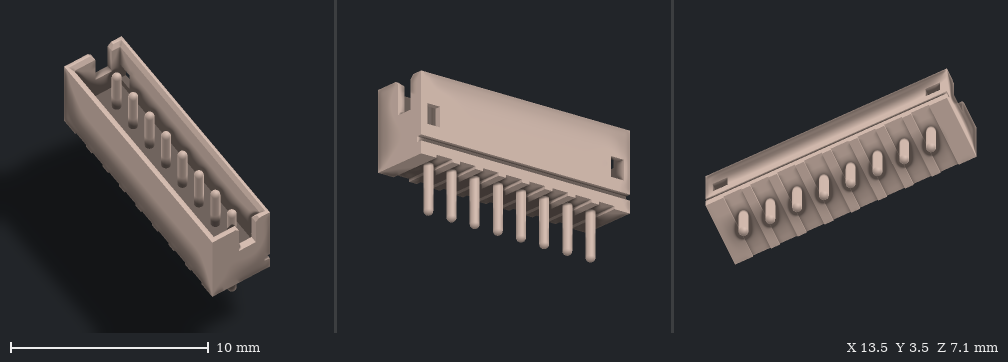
import cadquery as cq


LENGTH = 13.5
DEPTH = 3.5
HEIGHT = 4.5
END_WALL = 0.39
SIDE_WALL = 0.35
BEVEL = 0.2

BENCH_Z = 1.3
STEP_DROP = 0.3
STEP_RUN = 0.2
STEP_FRONT = 1.24

PIN_COUNT = 8
PITCH = 1.5
PIN_DIAMETER = 0.5
PIN_TOP = 3.9
PIN_BOTTOM = -2.6
PIN_SETBACK = 1.31

SLOT_WIDTH = 1.01
SLOT_FLOOR = 2.63
SLOT_SETBACK = 0.85
WINDOW_WIDTH = 0.82
WINDOW_SILL = 1.7
WINDOW_HEAD = 2.82
GROOVE_Z = 0.7
GROOVE_HEIGHT = 0.32
GROOVE_DEPTH = 0.32
RELIEF_WIDTH = 1.01
RELIEF_HEIGHT = 0.16

BACK = DEPTH / 2
FRONT = -BACK
INNER_LENGTH = LENGTH - 2 * END_WALL
INNER_BACK = BACK - SIDE_WALL
INNER_FRONT = FRONT + SIDE_WALL
PIN_Y = BACK - PIN_SETBACK
PIN_RADIUS = PIN_DIAMETER / 2
PIN_XS = [(i - (PIN_COUNT - 1) / 2) * PITCH for i in range(PIN_COUNT)]


def box(x_range, y_range, z_range):
    """Box spanning the given (low, high) range on each axis."""
    (x0, x1), (y0, y1), (z0, z1) = x_range, y_range, z_range
    return cq.Workplane("XY").box(x1 - x0, y1 - y0, z1 - z0, centered=False).translate((x0, y0, z0))


def extrude_along_x(points, length):
    """Prism with a (y, z) outline, centred on X = 0."""
    return cq.Workplane("YZ").polyline(points).close().extrude(length / 2, both=True)


def cavity():
    """Inside of the shroud, down to the stepped floor, with a bevelled mouth."""
    low_z = BENCH_Z - STEP_DROP
    step_foot = FRONT + STEP_FRONT
    outline = [
        (INNER_FRONT, HEIGHT),
        (INNER_FRONT, low_z),
        (step_foot, low_z),
        (step_foot + STEP_RUN, BENCH_Z),
        (INNER_BACK, BENCH_Z),
        (INNER_BACK, HEIGHT),
    ]
    mouth = (
        cq.Workplane("XY")
        .workplane(offset=HEIGHT)
        .rect(INNER_LENGTH + 2 * BEVEL, DEPTH - 2 * SIDE_WALL + 2 * BEVEL)
        .workplane(offset=-BEVEL)
        .rect(INNER_LENGTH, DEPTH - 2 * SIDE_WALL)
        .loft(ruled=True)
    )
    return extrude_along_x(outline, INNER_LENGTH).union(mouth)


def end_slots():
    """Slot through both end walls, flared at the top."""
    y1 = BACK - SLOT_SETBACK
    y0 = y1 - SLOT_WIDTH
    outline = [
        (y0, SLOT_FLOOR),
        (y1, SLOT_FLOOR),
        (y1, HEIGHT - BEVEL),
        (y1 + BEVEL, HEIGHT),
        (y0 - BEVEL, HEIGHT),
        (y0, HEIGHT - BEVEL),
    ]
    return extrude_along_x(outline, LENGTH)


def back_windows():
    """A window through the back wall in each corner of the cavity."""
    corner_x = INNER_LENGTH / 2
    window = box(
        (corner_x - WINDOW_WIDTH, corner_x),
        (INNER_BACK, BACK),
        (WINDOW_SILL, WINDOW_HEAD),
    )
    return window.union(window.mirror("YZ"))


def back_groove():
    """Groove along the whole back face, near the bottom."""
    return box(
        (-LENGTH / 2, LENGTH / 2),
        (BACK - GROOVE_DEPTH, BACK),
        (GROOVE_Z, GROOVE_Z + GROOVE_HEIGHT),
    )


def pin_relief(x):
    """Shallow channel across the underside at one pin."""
    half = RELIEF_WIDTH / 2
    return box((x - half, x + half), (FRONT, BACK), (0, RELIEF_HEIGHT))


def pin(x):
    """Round pin with a hemispherical tip at both ends."""
    profile = (
        cq.Workplane("XZ")
        .moveTo(0, PIN_BOTTOM)
        .radiusArc((PIN_RADIUS, PIN_BOTTOM + PIN_RADIUS), -PIN_RADIUS)
        .lineTo(PIN_RADIUS, PIN_TOP - PIN_RADIUS)
        .radiusArc((0, PIN_TOP), -PIN_RADIUS)
        .close()
    )
    return profile.revolve(360, (0, 0), (0, 1)).translate((x, PIN_Y, 0))


housing = box((-LENGTH / 2, LENGTH / 2), (FRONT, BACK), (0, HEIGHT))
housing = housing.cut(cavity()).cut(end_slots()).cut(back_windows()).cut(back_groove())
for pin_x in PIN_XS:
    housing = housing.cut(pin_relief(pin_x))

result = housing
for pin_x in PIN_XS:
    result = result.union(pin(pin_x))